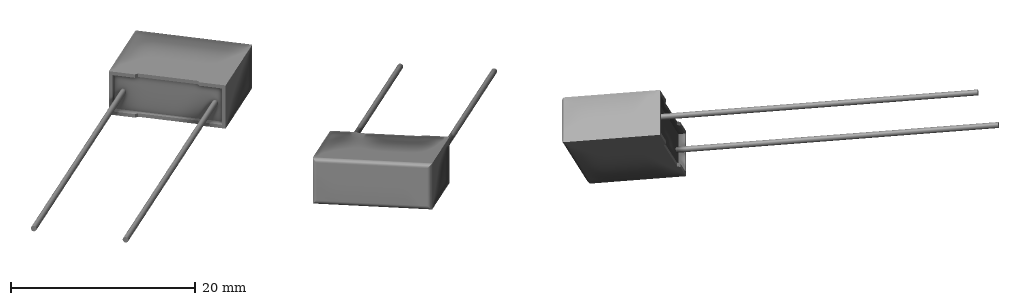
import cadquery as cq

total_length = 46.1
case_width = 13.2
case_height = 5.2
case_length = 11.0

wall = 0.4
back_edge_radius = 0.45
relief_depth = 0.3
relief_mouth_width = 7.35
relief_floor_width = 6.75

filler_setback = 0.8
filler_length = case_length - wall - filler_setback
cavity_width = case_width - 2 * wall
cavity_height = case_height - 2 * wall
lead_diameter = 0.65
lead_pitch = 10.35
lead_length = total_length - case_length + filler_setback


def block_along_y(width, height, length, start_y):
    """Block centred on the Y axis, running toward +Y from start_y."""
    return (
        cq.Workplane("XY")
        .box(width, length, height, centered=(True, False, True))
        .translate((0, start_y, 0))
    )


def make_mouth_relief():
    """Shallow trapezoid cutter across both broad walls at the mouth."""
    return (
        cq.Workplane("XY")
        .polyline([
            (-relief_mouth_width / 2, 0),
            (relief_mouth_width / 2, 0),
            (relief_floor_width / 2, relief_depth),
            (-relief_floor_width / 2, relief_depth),
        ])
        .close()
        .extrude(case_height / 2, both=True)
    )


def make_case():
    """Open box with rounded back edges and relieved broad walls."""
    outside = block_along_y(case_width, case_height, case_length, 0)
    outside = outside.faces(">Y").edges().fillet(back_edge_radius)
    cavity = block_along_y(cavity_width, cavity_height, case_length - wall, 0)
    return outside.cut(cavity).cut(make_mouth_relief())


def make_filler():
    """Solid fill of the case cavity, set back from the mouth."""
    return block_along_y(cavity_width, cavity_height, filler_length, filler_setback)


def make_lead(x):
    """Straight round wire standing on the filler face, running toward -Y."""
    return (
        cq.Workplane("XZ", origin=(x, filler_setback, 0))
        .circle(lead_diameter / 2)
        .extrude(lead_length)
    )


case = make_case()
filler = make_filler()
leads = [make_lead(side * lead_pitch / 2) for side in (-1, 1)]

result = cq.Compound.makeCompound([case.val(), filler.val(), *[lead.val() for lead in leads]])